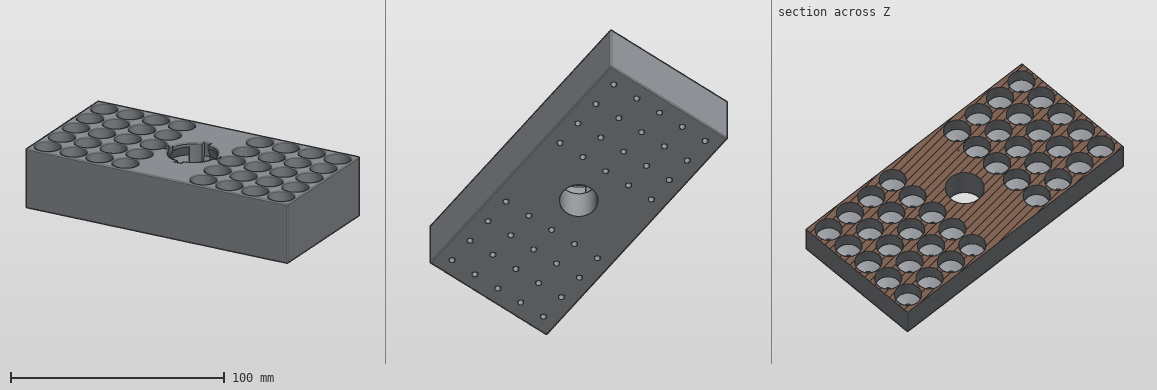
import cadquery as cq
import math

LENGTH = 140.8
WIDTH = 68.5
HEIGHT = 30.0
EDGE_RADIUS = 0.54

CUP_DIAMETER = 12.5
CUP_RIM_RADIUS = 0.35
CUP_DEPTH = 24.0
CUP_CONE_ANGLE = 22.7
DRAIN_DIAMETER = 2.8
CUP_COLUMNS = 4
CUP_ROWS = 5
CUP_PITCH_X = 14.0
CUP_PITCH_Y = 13.4
FIRST_COLUMN_X = 21.0

BORE_DIAMETER = 23.8
BORE_DEPTH = 11.5
BORE_RIM_RADIUS = 0.5
THROUGH_DIAMETER = 18.0

SLOT_COUNT = 4
SLOT_WIDTH = 3.2
SLOT_REACH = 13.8
GROOVE_HALF_HEIGHT = 4.8
TURN_ANGLE = 45.0

bore_radius = BORE_DIAMETER / 2
bore_floor_z = HEIGHT - BORE_DEPTH
groove_peak_z = bore_floor_z + GROOVE_HALF_HEIGHT
groove_top_z = groove_peak_z + GROOVE_HALF_HEIGHT


def turned(profile, angle=360):
    """Revolve a closed (r, z) profile about Z, clockwise from +X seen from above."""
    return profile.close().revolve(angle, (0, 0), (0, -1))


def cup_cutter():
    """Cup, floor cone and drain in one solid that flares at the top to round the rim."""
    cup_radius = CUP_DIAMETER / 2
    drain_radius = DRAIN_DIAMETER / 2
    floor_z = HEIGHT - CUP_DEPTH
    cone_height = (cup_radius - drain_radius) * math.tan(math.radians(CUP_CONE_ANGLE))
    arc_inset = CUP_RIM_RADIUS * (1 - math.sqrt(0.5))
    profile = (
        cq.Workplane("XZ")
        .lineTo(drain_radius, 0)
        .lineTo(drain_radius, floor_z)
        .lineTo(cup_radius, floor_z + cone_height)
        .lineTo(cup_radius, HEIGHT - CUP_RIM_RADIUS)
        .threePointArc(
            (cup_radius + arc_inset, HEIGHT - arc_inset),
            (cup_radius + CUP_RIM_RADIUS, HEIGHT),
        )
        .lineTo(0, HEIGHT)
    )
    return turned(profile)


def cup_centres():
    """Two mirrored groups of cups, one on each side of the bore."""
    centres = []
    for side in (-1, 1):
        for column in range(CUP_COLUMNS):
            for row in range(CUP_ROWS):
                x = side * (FIRST_COLUMN_X + column * CUP_PITCH_X)
                y = (row - (CUP_ROWS - 1) / 2) * CUP_PITCH_Y
                centres.append((x, y))
    return centres


def stepped_bore():
    through_hole = cq.Workplane("XY").circle(THROUGH_DIAMETER / 2).extrude(HEIGHT)
    bore = cq.Workplane("XY").workplane(offset=bore_floor_z).circle(bore_radius).extrude(BORE_DEPTH)
    return through_hole.union(bore)


def entry_slot():
    """Slot towards +X whose floor slopes down to the foot of the bore."""
    profile = [
        (0, bore_floor_z),
        (bore_radius, bore_floor_z),
        (SLOT_REACH, groove_peak_z),
        (SLOT_REACH, HEIGHT),
        (0, HEIGHT),
    ]
    return cq.Workplane("XZ").polyline(profile).close().extrude(SLOT_WIDTH / 2, both=True)


def turning_groove():
    """V-shaped groove that runs clockwise from the slot at +X to the locked position."""
    half_slot_angle = math.degrees(math.asin(SLOT_WIDTH / 2 / bore_radius))
    profile = cq.Workplane("XZ").polyline([
        (0, bore_floor_z),
        (bore_radius, bore_floor_z),
        (SLOT_REACH, groove_peak_z),
        (bore_radius, groove_top_z),
        (0, groove_top_z),
    ])
    return turned(profile, TURN_ANGLE + half_slot_angle)


def cut_around_bore(body, cutter):
    """Cut one copy of the cutter at each slot direction."""
    for index in range(SLOT_COUNT):
        body = body.cut(cutter.rotate((0, 0, 0), (0, 0, 1), index * 360 / SLOT_COUNT))
    return body


def round_opening(body, radius):
    """Round the edges of the opening in the top face."""
    rim_edges = [edge for wire in body.faces(">Z").val().innerWires() for edge in wire.Edges()]
    return body.newObject(rim_edges).fillet(radius)


block = cq.Workplane("XY").box(LENGTH, WIDTH, HEIGHT, centered=(True, True, False))
block = block.edges().fillet(EDGE_RADIUS)

body = cut_around_bore(block.cut(stepped_bore()), entry_slot())
body = round_opening(body, BORE_RIM_RADIUS)
body = cut_around_bore(body, turning_groove())

cups = cq.Workplane("XY").pushPoints(cup_centres()).eachpoint(cup_cutter().val(), combine=False)
result = body.cut(cups)